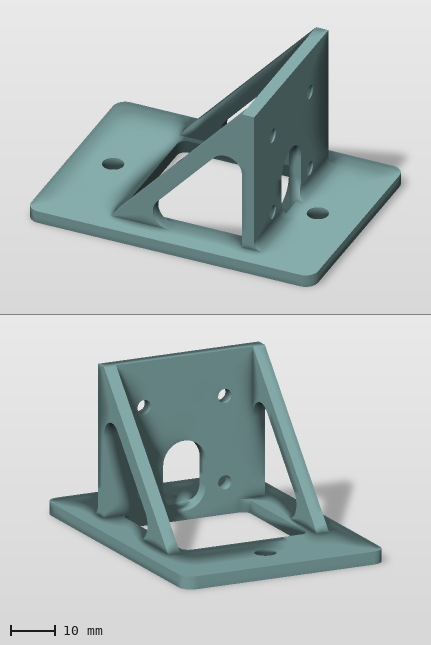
import cadquery as cq

plate_length = 70.0
plate_width = 50.0
thickness = 3.0
plate_corner_radius = 3.0
mount_hole_diameter = 5.0
mount_hole_spacing = 50.0

window_side = 31.0
window_corner_radius = 2.0

total_height = 38.0
wall_width = 40.0
wall_front = window_side / 2
wall_back = wall_front + thickness
wall_height = total_height - thickness
foot_fillet_radius = 2.0

bolt_hole_diameter = 3.3
bolt_spacing = 20.0
bolt_lower_height = 7.4
slot_width = 10.6
slot_top = 18.4
slot_lower_centre = bolt_lower_height

rib_length = 32.0
opening_length = 26.8
opening_height = opening_length * wall_height / rib_length
opening_corner_radius = 4.0


def make_plate():
    plate = (
        cq.Workplane("XY")
        .box(plate_length, plate_width, thickness, centered=(True, True, False))
        .edges("|Z")
        .fillet(plate_corner_radius)
    )
    window = (
        cq.Workplane("XY")
        .box(window_side, window_side, thickness, centered=(True, True, False))
        .edges("|Z")
        .fillet(window_corner_radius)
    )
    mount_holes = (
        cq.Workplane("XY")
        .rarray(mount_hole_spacing, 0.7, 2, 1)
        .circle(mount_hole_diameter / 2)
        .extrude(thickness)
    )
    return plate.cut(window).cut(mount_holes)


def make_wall():
    """Wall with a concave fillet along the foot of its +X face."""
    fillet_top = thickness + foot_fillet_radius
    fillet_end = wall_back + foot_fillet_radius
    wall = (
        cq.Workplane("XZ", origin=(0, wall_width / 2, 0))
        .moveTo(wall_front, 0)
        .lineTo(wall_front, total_height)
        .lineTo(wall_back, total_height)
        .lineTo(wall_back, fillet_top)
        .radiusArc((fillet_end, thickness), -foot_fillet_radius)
        .lineTo(fillet_end, 0)
        .close()
        .extrude(wall_width)
    )
    return wall.cut(make_wall_cutouts(thickness + foot_fillet_radius))


def make_wall_cutouts(depth):
    """Bolt holes and slot reaching the given depth from the -X face of the wall."""
    wall_face = cq.Workplane("YZ", origin=(wall_front, 0, 0))
    bolt_holes = (
        wall_face.center(0, bolt_lower_height + bolt_spacing / 2)
        .rarray(bolt_spacing, bolt_spacing, 2, 2)
        .circle(bolt_hole_diameter / 2)
        .extrude(depth)
    )
    slot_bottom = slot_lower_centre - slot_width / 2
    slot = (
        wall_face.center(0, (slot_top + slot_bottom) / 2)
        .slot2D(slot_top - slot_bottom, slot_width, 90)
        .extrude(depth)
    )
    return bolt_holes.union(slot)


def make_triangle(length, height, outer_y):
    """Right triangle standing on the plate against the wall, one rib thick."""
    return (
        cq.Workplane("XZ", origin=(wall_front, outer_y, thickness))
        .polyline([(0, 0), (0, height), (-length, 0)])
        .close()
        .extrude(thickness)
    )


def make_rib(outer_y):
    opening = make_triangle(opening_length, opening_height, outer_y)
    rounded_corners = opening.edges("|Y").edges("<X or >Z")
    opening = rounded_corners.fillet(opening_corner_radius)
    return make_triangle(rib_length, wall_height, outer_y).cut(opening)


result = make_plate().union(make_wall())
for rib_outer_y in (wall_width / 2, -wall_width / 2 + thickness):
    result = result.union(make_rib(rib_outer_y))

result = result.cut(make_wall_cutouts(thickness))